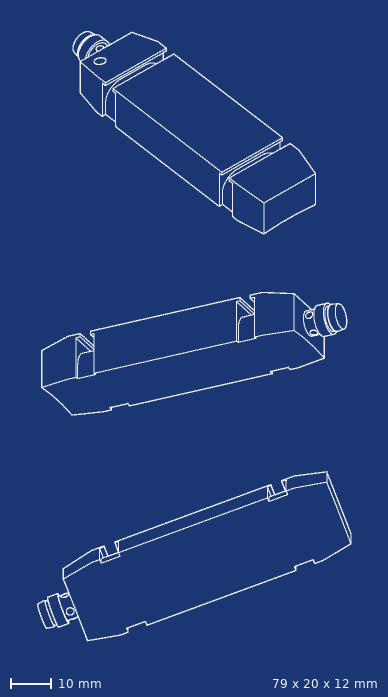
import cadquery as cq

length = 79.0
width = 20.0
height = 12.0

cap_start = 8.85
cap_taper_length = 8.05
cap_taper_inset = 1.5
cap_flat_length = 2.2
lip_overhang = 1.2
block_lip_overhang = 0.95
lip_thickness = 0.95
groove_width = 5.0
neck_width = 17.9
neck_height = 9.0
neck_corner_radius = 5.0
underside_rise = 0.7

window_diameter = 3.0
window_depth = 0.1
window_x = 12.5
window_y = -5.05

connector_z = height / 2
connector_diameter = 6.5
tip_diameter = 6.95
tip_length = 2.05
tip_bulge_x = 0.7
tip_bulge_diameter = 6.8
collar_diameter = 8.0
collar_start = 2.9
collar_length = 2.7
stud_count = 4
stud_diameter = 2.0
stud_turn = 10.0
stud_x = 7.3

housing_centre_x = (cap_start + length) / 2
taper_end = cap_start + cap_taper_length
groove_start = taper_end + cap_flat_length
groove_end = groove_start + groove_width
far_taper_start = length - cap_taper_length


def make_envelope():
    """Outer shape without grooves: ends tapered on the top and on both sides."""
    half_width = width / 2
    half_end_width = half_width - cap_taper_inset
    plan = (
        cq.Workplane("XY")
        .polyline([
            (cap_start, -half_end_width),
            (taper_end, -half_width),
            (far_taper_start, -half_width),
            (length, -half_end_width),
            (length, half_end_width),
            (far_taper_start, half_width),
            (taper_end, half_width),
            (cap_start, half_end_width),
        ])
        .close()
        .extrude(height)
    )
    side = (
        cq.Workplane("XZ")
        .polyline([
            (cap_start, 0),
            (length, 0),
            (length, height - cap_taper_inset),
            (far_taper_start, height),
            (taper_end, height),
            (cap_start, height - cap_taper_inset),
        ])
        .close()
        .extrude(half_width, both=True)
    )
    return plan.intersect(side)


def make_groove():
    """Groove between the first cap and the block, narrowed at the top by two thin lips."""
    lip_bottom = height - lip_thickness
    mouth_start = groove_start + lip_overhang
    mouth_end = groove_end - block_lip_overhang
    return (
        cq.Workplane("XZ")
        .polyline([
            (groove_start, 0),
            (groove_end, 0),
            (groove_end, lip_bottom),
            (mouth_end, lip_bottom),
            (mouth_end, height),
            (mouth_start, height),
            (mouth_start, lip_bottom),
            (groove_start, lip_bottom),
        ])
        .close()
        .extrude(width / 2, both=True)
    )


def make_neck():
    """Bar with rounded upper edges that runs through both grooves."""
    neck_length = length - cap_start - 2 * cap_taper_length
    return (
        cq.Workplane("XY")
        .box(neck_length, neck_width, neck_height, centered=(True, True, False))
        .edges("|X and >Z")
        .fillet(neck_corner_radius)
        .translate((housing_centre_x, 0, 0))
    )


def make_underside_hollow():
    """Shallow arched hollow along the whole bottom of the housing."""
    return (
        cq.Workplane("YZ", origin=(cap_start, 0, 0))
        .moveTo(-width / 2, 0)
        .threePointArc((0, underside_rise), (width / 2, 0))
        .close()
        .extrude(length - cap_start)
    )


def make_window_recess():
    """Disc sunk square into the sloping top of the first cap."""
    slope = cap_taper_inset / cap_taper_length
    window_z = height - (taper_end - window_x) * slope
    slope_plane = cq.Plane(
        origin=(window_x, window_y, window_z), xDir=(0, 1, 0), normal=(-slope, 0, 1)
    )
    return cq.Workplane(slope_plane).circle(window_diameter / 2).extrude(-window_depth)


def make_housing():
    groove = make_groove()
    mirror_point = (housing_centre_x, 0, 0)
    return (
        make_envelope()
        .cut(groove)
        .cut(groove.mirror("YZ", mirror_point))
        .union(make_neck())
        .cut(make_underside_hollow())
        .cut(make_window_recess())
    )


def make_connector():
    """Turned plug that meets the end face of the first cap."""
    radius = connector_diameter / 2
    tip_radius = tip_diameter / 2
    collar_radius = collar_diameter / 2
    collar_end = collar_start + collar_length
    connector = (
        cq.Workplane("XY")
        .lineTo(0, radius)
        .threePointArc((tip_bulge_x, tip_bulge_diameter / 2), (tip_length, tip_radius))
        .lineTo(tip_length, radius)
        .lineTo(collar_start, radius)
        .lineTo(collar_start, collar_radius)
        .lineTo(collar_end, collar_radius)
        .lineTo(collar_end, radius)
        .lineTo(cap_start, radius)
        .lineTo(cap_start, 0)
        .close()
        .revolve(360, (0, 0, 0), (1, 0, 0))
    )
    for index in range(stud_count):
        angle = stud_turn + index * 360 / stud_count
        stud = (
            cq.Workplane("XY")
            .center(stud_x, 0)
            .circle(stud_diameter / 2)
            .extrude(radius)
            .rotate((0, 0, 0), (1, 0, 0), angle)
        )
        connector = connector.union(stud)
    return connector.translate((0, 0, connector_z))


housing = make_housing().solids()
connector = make_connector().solids()

result = cq.Compound.makeCompound([housing.val(), connector.val()])